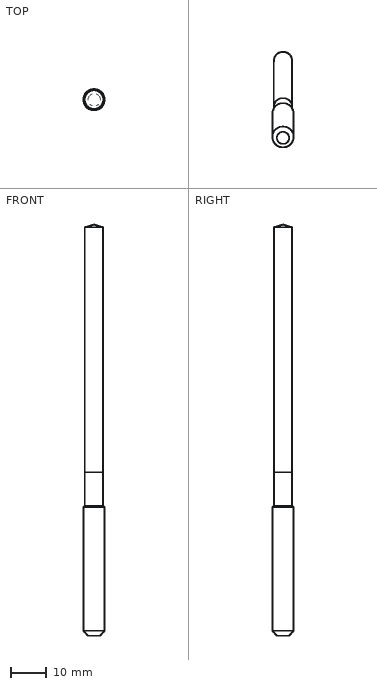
import cadquery as cq

TOTAL_LENGTH = 116.0
HEAD_DIAMETER = 6.0
ROD_DIAMETER = 5.2
TIP_DIAMETER = 3.5
TIP_HEIGHT = 1.4
SHOULDER_HEIGHT = 36.3
SHOULDER_RISE = 0.3
JOINT_HEIGHT = 46.0
POINT_HEIGHT = 0.8

HEAD_RADIUS = HEAD_DIAMETER / 2
ROD_RADIUS = ROD_DIAMETER / 2
TIP_RADIUS = TIP_DIAMETER / 2


def revolve_profile(points):
    """Turn a closed (radius, height) outline about the Z axis, starting at -Y."""
    outline = [(-radius, height) for radius, height in points]
    return cq.Workplane("YZ").polyline(outline).close().revolve(360, (0, 0), (0, 1))


def make_head():
    """Thick head with a tapered lower tip and a thinner neck above its sloped shoulder."""
    return revolve_profile([
        (0, 0),
        (TIP_RADIUS, 0),
        (HEAD_RADIUS, TIP_HEIGHT),
        (HEAD_RADIUS, SHOULDER_HEIGHT),
        (ROD_RADIUS, SHOULDER_HEIGHT + SHOULDER_RISE),
        (ROD_RADIUS, JOINT_HEIGHT),
        (0, JOINT_HEIGHT),
    ])


def make_rod():
    """Long rod that continues the neck and ends in a shallow conical point."""
    return revolve_profile([
        (0, JOINT_HEIGHT),
        (ROD_RADIUS, JOINT_HEIGHT),
        (ROD_RADIUS, TOTAL_LENGTH - POINT_HEIGHT),
        (0, TOTAL_LENGTH),
    ])


head = make_head()
rod = make_rod()

result = cq.Compound.makeCompound([head.val(), rod.val()])